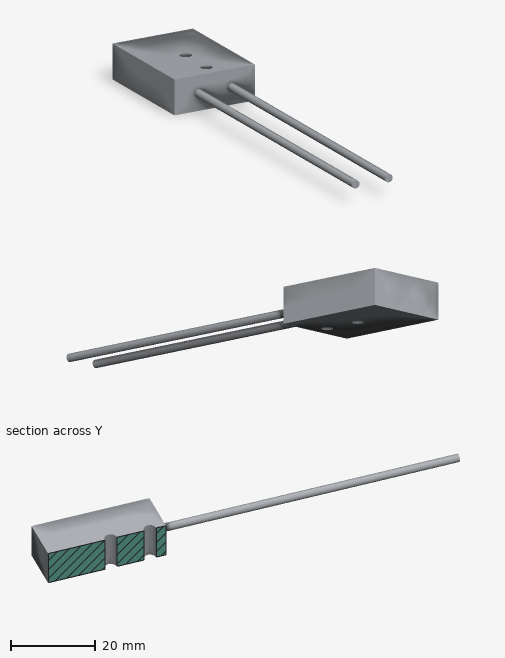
import cadquery as cq

housing_length = 30.0
housing_width = 22.0
housing_height = 9.0

mount_hole_diameter = 3.0
mount_hole_positions = (16.0, 26.0)

overall_length = 106.4
channel_spacing = 9.0
channel_offsets = (-channel_spacing / 2, channel_spacing / 2)

lens_diameter = 6.9
lens_seat_depth = 2.0
lens_dome_height = 0.2

cable_diameter = 2.0
cable_length = overall_length - housing_length - lens_dome_height


def make_housing():
    """Block with mounting holes and one lens pocket per channel."""
    block = cq.Workplane("XY").box(
        housing_length, housing_width, housing_height, centered=(False, True, True)
    )
    mount_holes = (
        cq.Workplane("XY")
        .pushPoints([(x, 0) for x in mount_hole_positions])
        .circle(mount_hole_diameter / 2)
        .extrude(housing_height, both=True)
    )
    lens_pockets = (
        cq.Workplane("YZ")
        .pushPoints([(y, 0) for y in channel_offsets])
        .circle(lens_diameter / 2)
        .extrude(lens_seat_depth)
    )
    return block.cut(mount_holes).cut(lens_pockets)


def make_lens(y):
    """Domed disc, revolved about its channel axis."""
    radius = lens_diameter / 2
    sphere_radius = (radius**2 + lens_dome_height**2) / (2 * lens_dome_height)
    sphere_center_x = sphere_radius - lens_dome_height
    mid_radius = radius / 2
    mid_x = sphere_center_x - (sphere_radius**2 - mid_radius**2) ** 0.5
    return (
        cq.Workplane("XY")
        .moveTo(-lens_dome_height, 0)
        .threePointArc((mid_x, mid_radius), (0, radius))
        .lineTo(lens_seat_depth, radius)
        .lineTo(lens_seat_depth, 0)
        .close()
        .revolve(360, (0, 0), (1, 0))
        .translate((0, y, 0))
    )


def make_cable(y):
    """Straight round cable leaving the rear face of the housing."""
    return (
        cq.Workplane("YZ", origin=(housing_length, y, 0))
        .circle(cable_diameter / 2)
        .extrude(cable_length)
    )


housing = make_housing()
lenses = [make_lens(y) for y in channel_offsets]
cables = [make_cable(y) for y in channel_offsets]

result = cq.Compound.makeCompound(
    [housing.val(), *[lens.val() for lens in lenses], *[cable.val() for cable in cables]]
)